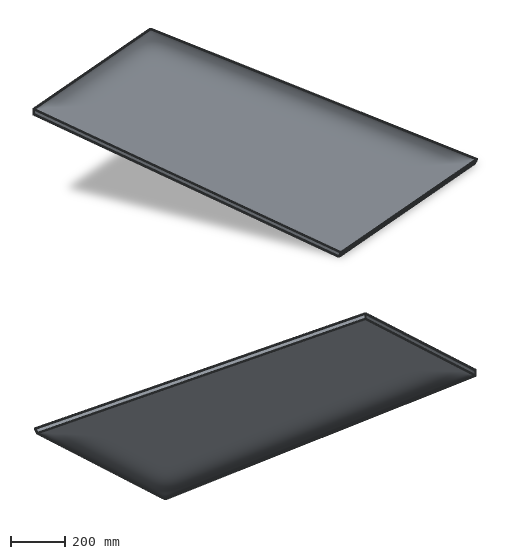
import cadquery as cq
import math

UPPER_WIDTH = 936.0
LOWER_WIDTH = 1088.4
PLAN_RUN = 1308.58
THICKNESS = 20.0
PITCH = 13.321
FOOT_BEVEL = 2 * PITCH
HEADING = 6.67

pitch_slope = math.tan(math.radians(PITCH))
bevel_slope = math.tan(math.radians(FOOT_BEVEL))
drop = PLAN_RUN * pitch_slope
vertical_thickness = THICKNESS / math.cos(math.radians(PITCH))

foot_depth = vertical_thickness / (1 + bevel_slope * pitch_slope)
foot_setback = foot_depth * bevel_slope
height = drop + foot_depth


def slope_slab():
    """Sloping slab with a vertical upper end and a bevelled foot, running downhill along +X."""
    profile = [
        (0, 0),
        (PLAN_RUN, -drop),
        (PLAN_RUN - foot_setback, -height),
        (0, -vertical_thickness),
    ]
    half_length = max(UPPER_WIDTH, LOWER_WIDTH) / 2
    return cq.Workplane("XZ").polyline(profile).close().extrude(half_length, both=True)


def plan_prism():
    """Upright prism whose symmetrical trapezoid trims the slab's two side faces."""
    outline = [
        (0, UPPER_WIDTH / 2),
        (PLAN_RUN, LOWER_WIDTH / 2),
        (PLAN_RUN, -LOWER_WIDTH / 2),
        (0, -UPPER_WIDTH / 2),
    ]
    return cq.Workplane("XY").polyline(outline).close().extrude(-height)


panel = slope_slab().intersect(plan_prism())
result = panel.rotate((0, 0, 0), (0, 0, 1), HEADING)